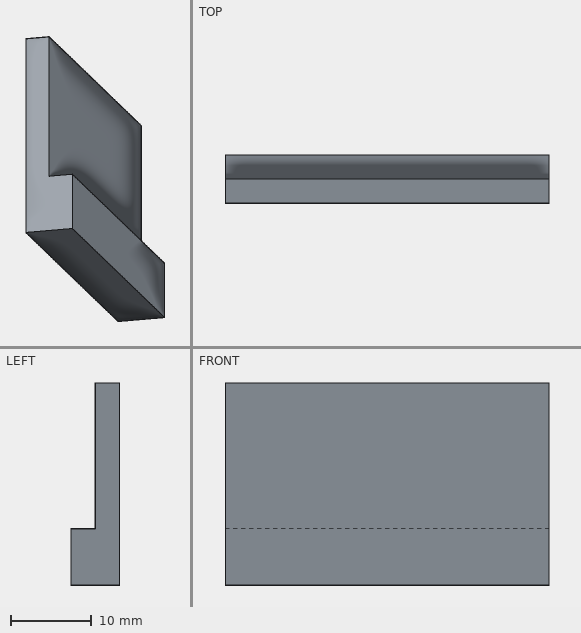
import cadquery as cq

length = 40.0
foot_depth = 6.0
height = 25.0

plate_thickness = 3.0
foot_height = 7.0


def make_l_bracket():
    """Upright plate with a foot along the bottom of its +Y face."""
    section = [
        (0, 0),
        (foot_depth, 0),
        (foot_depth, foot_height),
        (plate_thickness, foot_height),
        (plate_thickness, height),
        (0, height),
    ]
    return cq.Workplane("YZ").polyline(section).close().extrude(length)


result = make_l_bracket()